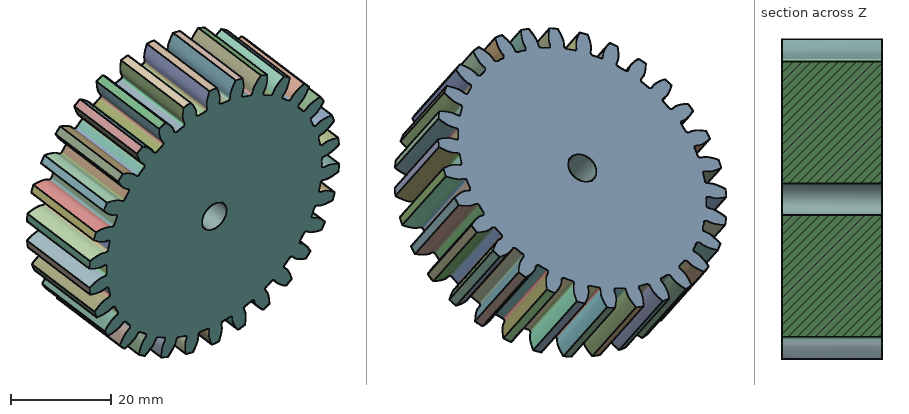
import cadquery as cq
import math

tooth_count = 30
module = 2.0
pressure_angle = math.radians(14.5)
addendum_factor = 1.0
dedendum_factor = 1.25
face_width = 20.0
bore_diameter = 6.25
root_fillet_radius = 0.5
first_tooth_turn = math.radians(0.56)
flank_point_count = 8

pitch_radius = module * tooth_count / 2
tip_radius = pitch_radius + addendum_factor * module
root_radius = pitch_radius - dedendum_factor * module
base_radius = pitch_radius * math.cos(pressure_angle)
tooth_pitch_angle = 2 * math.pi / tooth_count


def involute_angle(radius):
    """Polar angle that the involute has swept from the base circle to this radius."""
    roll = math.sqrt((radius / base_radius) ** 2 - 1)
    return roll - math.atan(roll)


def half_tooth_angle(radius):
    """Half of the angle that a tooth fills at this radius, on or above the base circle."""
    return tooth_pitch_angle / 4 + involute_angle(pitch_radius) - involute_angle(radius)


def polar(radius, angle):
    """Point of the YZ plane; the angle is measured from +Y towards +Z."""
    return (radius * math.cos(angle), radius * math.sin(angle))


def flank_points(center, side):
    """Points of one flank from root to tip; side is -1 or +1 about the tooth centre.

    The flank is radial below the base circle and an involute above it.
    """
    tip_roll = math.sqrt((tip_radius / base_radius) ** 2 - 1)
    rolls = [tip_roll * i / (flank_point_count - 1) for i in range(flank_point_count)]
    radii = [base_radius * math.sqrt(1 + roll**2) for roll in rolls]
    foot = polar(root_radius, center + side * half_tooth_angle(base_radius))
    involute = [polar(radius, center + side * half_tooth_angle(radius)) for radius in radii]
    return [foot] + involute


def toothed_disc():
    """Gear blank with sharp corners between the tooth flanks and the root circle."""
    first_center = math.pi / 2 + first_tooth_turn
    start = flank_points(first_center, -1)[0]
    profile = cq.Workplane("YZ", origin=(-face_width / 2, 0, 0)).moveTo(*start)
    for i in range(tooth_count):
        center = first_center + i * tooth_pitch_angle
        near_flank = flank_points(center, -1)
        far_flank = flank_points(center, 1)[::-1]
        tip_middle = polar(tip_radius, center)
        space_middle = polar(root_radius, center + tooth_pitch_angle / 2)
        next_foot = flank_points(center + tooth_pitch_angle, -1)[0]
        profile = (
            profile.spline(near_flank[1:], includeCurrent=True)
            .threePointArc(tip_middle, far_flank[0])
            .spline(far_flank[1:], includeCurrent=True)
            .threePointArc(space_middle, next_foot)
        )
    return profile.close().extrude(face_width)


def round_tooth_feet(gear):
    """Fillet the inner corners where the tooth flanks meet the root circle."""
    foot_limit = (root_radius + base_radius) / 2
    corners = gear.edges("|X").filter(
        lambda edge: math.hypot(edge.Center().y, edge.Center().z) < foot_limit
    )
    return corners.fillet(root_fillet_radius)


def cut_bore(gear):
    """Plain through hole along the axis."""
    bore = cq.Workplane("YZ").circle(bore_diameter / 2).extrude(face_width, both=True)
    return gear.cut(bore)


result = cut_bore(round_tooth_feet(toothed_disc()))